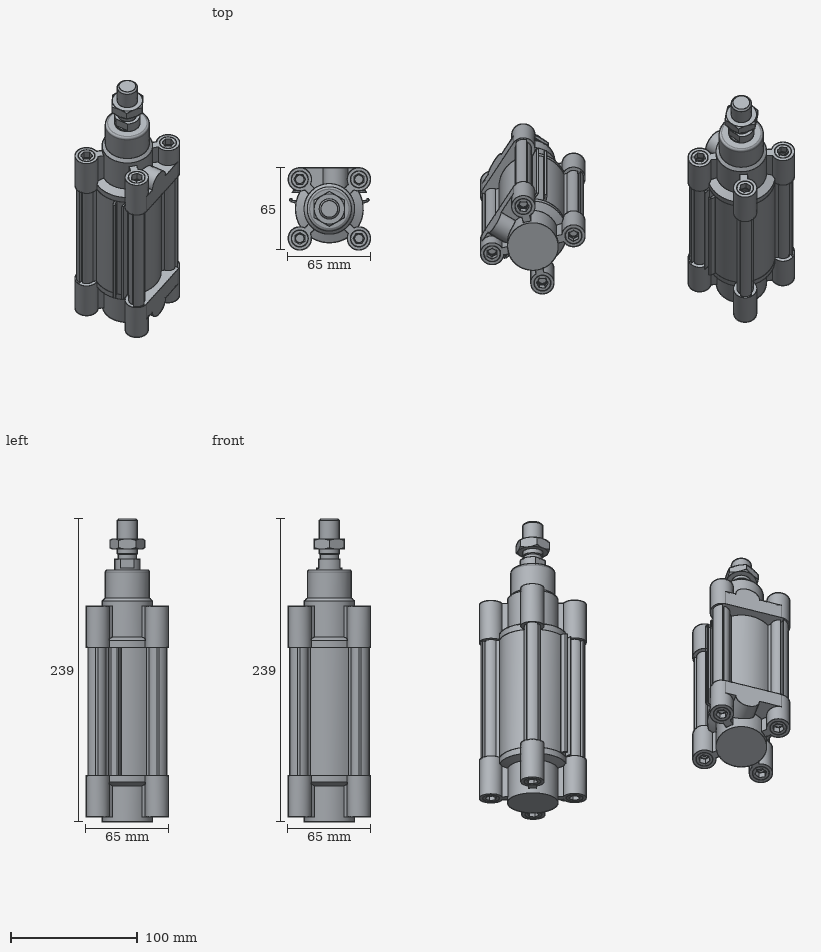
import cadquery as cq
import math

overall_length = 239.0
overall_width = 65.0
overlap = 1.2

rear_spigot_height = 4.0
front_spigot_height = 6.5
boss_height = 32.5
boss_diameter = 18.5
boss_offset = (overall_width - boss_diameter) / 2
neck_diameter = 40.0
flange_diameter = 53.5
flange_rim_height = 5.3
flange_cone_height = 2.9
cap_web_width = 6.2
rear_cap_height = rear_spigot_height + boss_height
front_cap_height = front_spigot_height + boss_height

port_boss_diameter = 19.5
port_boss_offset = 4.8
port_axis_height = boss_height / 2
slab_inner_face = 15.3

socket_flats = 8.0
socket_depth = 6.0
socket_bore_diameter = 6.7
socket_bore_depth = 2.5
ring_outer_diameter = 13.5
ring_inner_diameter = 13.0
ring_depth = 2.5

collar_diameter = 35.0
collar_top = 198.8
collar_fillet = 2.0
neck_chamfer = (neck_diameter - collar_diameter) / 2

barrel_length = 101.0
barrel_diameter = flange_diameter
lug_diameter = 13.0
lug_lip_diameter = 16.0
lug_web_width = 10.0
lug_slot_width = 1.7
lug_slot_depth = 2.9
front_cap_base = rear_cap_height + barrel_length

rod_diameter = 20.0
rod_flats = 17.0
flats_bottom = 200.0
flats_top = 207.2
undercut_diameter = 14.5
undercut_top = 210.8
thread_diameter = 16.0
thread_chamfer = 1.5

nut_flats = 24.0
nut_height = 8.1
nut_bottom = 215.0
nut_corner_bevel = 1.2

SOCKET_ANGLE_STEP = 90


def cylinder(diameter, bottom, top):
    """Upright round bar on the cylinder axis."""
    return cq.Workplane("XY").workplane(offset=bottom).circle(diameter / 2).extrude(top - bottom)


def corner_points(offset):
    """The four corners of a square centred on the axis, counter-clockwise from +X +Y."""
    return [(offset, offset), (-offset, offset), (-offset, -offset), (offset, -offset)]


def diagonal_webs(offset, width, height):
    """Two crossed plates joining opposite corners of the square."""
    length = 2 * math.sqrt(2) * offset
    webs = cq.Workplane("XY").rect(length, width).extrude(height)
    webs = webs.union(cq.Workplane("XY").rect(width, length).extrude(height))
    return webs.rotate((0, 0, 0), (0, 0, 1), 45)


def make_port_side():
    """Slab between the two +Y bosses with a sideways port boss lying in it."""
    outer_face = overall_width / 2
    slab_depth = outer_face - slab_inner_face
    slab = (
        cq.Workplane("XY")
        .center(0, outer_face - slab_depth / 2)
        .rect(2 * boss_offset, slab_depth)
        .extrude(port_axis_height)
    )
    port_boss = (
        cq.Workplane("XZ", origin=(port_boss_offset, 0, port_axis_height))
        .circle(port_boss_diameter / 2)
        .extrude(-outer_face)
    )
    return slab.union(port_boss)


def make_socket(index):
    """Cutter for one boss end: hexagon socket, its bore and the ring groove around it."""
    socket = (
        cq.Workplane("XY")
        .polygon(6, socket_flats, circumscribed=True)
        .extrude(-socket_depth)
        .rotate((0, 0, 0), (0, 0, 1), index * SOCKET_ANGLE_STEP)
    )
    bore = cq.Workplane("XY").circle(socket_bore_diameter / 2).extrude(-socket_depth - socket_bore_depth)
    ring = (
        cq.Workplane("XY")
        .circle(ring_outer_diameter / 2)
        .circle(ring_inner_diameter / 2)
        .extrude(-ring_depth)
    )
    return socket.union(bore).union(ring)


def make_cap(cap_height):
    """End cap standing on its barrel face at Z = 0, spigot upward."""
    cone_top = flange_rim_height + flange_cone_height
    flange = (
        cq.Workplane("XZ")
        .polyline([
            (0, 0),
            (flange_diameter / 2, 0),
            (flange_diameter / 2, flange_rim_height),
            (neck_diameter / 2, cone_top),
            (0, cone_top),
        ])
        .close()
        .revolve(360, (0, 0), (0, 1))
    )
    bosses = (
        cq.Workplane("XY")
        .pushPoints(corner_points(boss_offset))
        .circle(boss_diameter / 2)
        .extrude(boss_height)
    )
    cap = flange.union(cylinder(neck_diameter, 0, cap_height))
    cap = cap.union(diagonal_webs(boss_offset, cap_web_width, boss_height))
    cap = cap.union(bosses).union(make_port_side())
    for index, (x, y) in enumerate(corner_points(boss_offset)):
        cap = cap.cut(make_socket(index).translate((x, y, boss_height)))
    return cap


def make_rear_cap():
    """Cap turned spigot down, with its port side still on +Y."""
    return make_cap(rear_cap_height).mirror("XY").translate((0, 0, rear_cap_height))


def make_front_cap():
    """Cap with the bearing collar on top and the bore for the rod."""
    neck_top = front_cap_base + front_cap_height
    collar = cylinder(collar_diameter, neck_top - overlap, collar_top)
    collar = collar.faces(">Z").edges().fillet(collar_fillet)
    cap = make_cap(front_cap_height).faces(">Z").edges().chamfer(neck_chamfer)
    cap = cap.translate((0, 0, front_cap_base)).union(collar)
    return cap.cut(cylinder(rod_diameter, front_cap_base, collar_top))


def make_lips():
    """The two lips of the sensor groove on the -X side, up to full barrel length."""
    root = -barrel_diameter / 2 + overlap
    lower_lip = [
        (root, 4.5),
        (-27.0, 4.5),
        (-30.4, 5.7),
        (-31.5, 7.0),
        (-30.8, 8.1),
        (-29.6, 8.1),
        (-29.6, 7.0),
        (-26.8, 6.5),
        (root, 6.5),
    ]
    upper_lip = [(-22.2, 13.0), (-29.5, 13.0), (-28.5, 14.3), (-22.2, 14.3)]
    lips = cq.Workplane("XY").polyline(lower_lip).close().extrude(barrel_length)
    return lips.union(cq.Workplane("XY").polyline(upper_lip).close().extrude(barrel_length))


def make_lug():
    """Corner lug at +X +Y: a round bar with a thicker outward corner between two slots."""
    lip_radius = lug_lip_diameter / 2
    slot_middle = lug_slot_width / 2
    slot_bottom = lip_radius - lug_slot_depth
    bar = cq.Workplane("XY").circle(lug_diameter / 2).extrude(barrel_length)
    outward_corner = (
        cq.Workplane("XY")
        .center(slot_middle, slot_middle)
        .rect(lip_radius, lip_radius, centered=False)
        .extrude(barrel_length)
        .intersect(cq.Workplane("XY").circle(lip_radius).extrude(barrel_length))
    )
    x_slot = (
        cq.Workplane("XY")
        .center(slot_bottom + lug_slot_depth / 2, slot_middle)
        .rect(lug_slot_depth, lug_slot_width)
        .extrude(barrel_length)
    )
    y_slot = (
        cq.Workplane("XY")
        .center(slot_middle, slot_bottom + lug_slot_depth / 2)
        .rect(lug_slot_width, lug_slot_depth)
        .extrude(barrel_length)
    )
    lug = bar.union(outward_corner).cut(x_slot).cut(y_slot)
    return lug.translate((boss_offset, boss_offset, 0))


def make_barrel():
    """Round profile with four slotted corner lugs and a sensor groove on each X side."""
    barrel = cylinder(barrel_diameter, 0, barrel_length)
    barrel = barrel.union(diagonal_webs(boss_offset, lug_web_width, barrel_length))
    for corner in range(4):
        barrel = barrel.union(make_lug().rotate((0, 0, 0), (0, 0, 1), corner * 90))
    lips = make_lips()
    barrel = barrel.union(lips).union(lips.mirror("YZ"))
    return barrel.translate((0, 0, rear_cap_height))


def make_rod():
    """Piston rod with wrench flats, undercut and threaded end."""
    rod = cylinder(rod_diameter, front_cap_base, flats_top)
    flats = (
        cq.Workplane("XY")
        .workplane(offset=flats_bottom)
        .rect(2 * rod_diameter, 2 * rod_diameter)
        .rect(rod_flats, 2 * rod_diameter)
        .extrude(flats_top - flats_bottom)
    )
    thread = cylinder(thread_diameter, undercut_top, overall_length)
    thread = thread.faces(">Z").edges().chamfer(thread_chamfer)
    thread = thread.faces("<Z").edges().chamfer((thread_diameter - undercut_diameter) / 2 * 0.99)
    rod = rod.cut(flats)
    return rod.union(cylinder(undercut_diameter, flats_top, undercut_top)).union(thread)


def make_nut():
    """Hexagon nut with bevelled corners at both ends."""
    corner_radius = nut_flats / math.sqrt(3)
    face_radius = nut_flats / 2
    hexagon = (
        cq.Workplane("XY")
        .polygon(6, nut_flats, circumscribed=True)
        .extrude(nut_height)
    )
    bevels = (
        cq.Workplane("XZ")
        .polyline([
            (0, 0),
            (face_radius, 0),
            (corner_radius, nut_corner_bevel),
            (corner_radius, nut_height - nut_corner_bevel),
            (face_radius, nut_height),
            (0, nut_height),
        ])
        .close()
        .revolve(360, (0, 0), (0, 1))
    )
    nut = hexagon.intersect(bevels).cut(cylinder(thread_diameter, 0, nut_height))
    return nut.translate((0, 0, nut_bottom))


rear_cap = make_rear_cap()
barrel = make_barrel()
front_cap = make_front_cap()
piston_rod = make_rod()
lock_nut = make_nut()

result = cq.Compound.makeCompound([
    rear_cap.val(),
    barrel.val(),
    front_cap.val(),
    piston_rod.val(),
    lock_nut.val(),
])